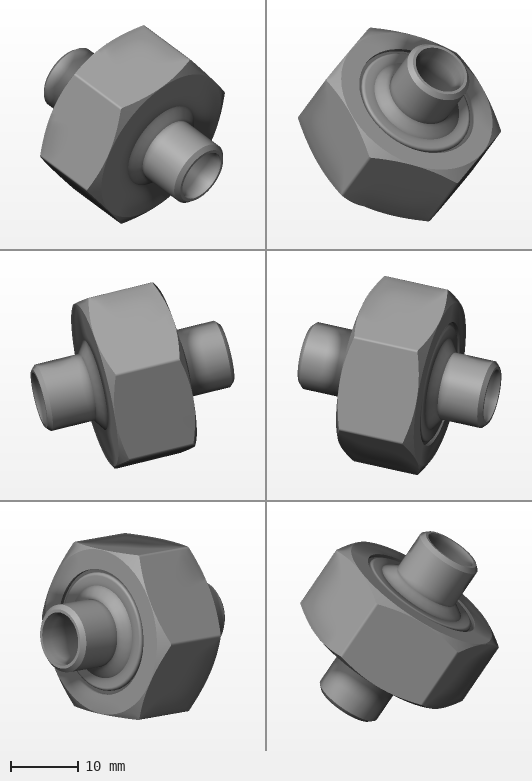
import cadquery as cq
import math

total_length = 29.0
bore_radius = 4.0
stub_radius = 5.1
stub_chamfer = 0.65
left_stub_length = 6.85
right_stub_length = 7.37
cone_end_radius = 6.95
cone_length = 1.33

nut_width_flats = 25.0
nut_length = 12.18
nut_corner_fillet = 0.5
nut_face_radius = 12.45
nut_chamfer_angle = 30.0

gap_outer_radius = 9.45
collar_radius = 8.93
collar_fillet = 0.5
gap_depth = 0.58

left_end = -total_length / 2
right_end = total_length / 2
left_cone_start = left_end + left_stub_length
right_cone_start = right_end - right_stub_length
nut_left = left_cone_start + cone_length
nut_right = nut_left + nut_length


def revolve_about_x(profile):
    return profile.close().revolve(360, (0, 0, 0), (1, 0, 0))


def make_pipe_body():
    """Both chamfered stubs with the cones that widen toward the nut."""
    tip_radius = stub_radius - stub_chamfer
    return revolve_about_x(
        cq.Workplane("XY")
        .moveTo(left_end, 0)
        .lineTo(left_end, tip_radius)
        .lineTo(left_end + stub_chamfer, stub_radius)
        .lineTo(left_cone_start, stub_radius)
        .lineTo(left_cone_start + cone_length, cone_end_radius)
        .lineTo(right_cone_start - cone_length, cone_end_radius)
        .lineTo(right_cone_start, stub_radius)
        .lineTo(right_end - stub_chamfer, stub_radius)
        .lineTo(right_end, tip_radius)
        .lineTo(right_end, 0)
    )


def make_nut():
    """Hexagon with flats facing +Z and -Z, rounded edges and conical end chamfers."""
    corner_radius = nut_width_flats / 2 / math.cos(math.radians(30))
    hexagon = (
        cq.Workplane("YZ")
        .workplane(offset=nut_left)
        .polygon(6, 2 * corner_radius)
        .extrude(nut_length)
        .edges("|X")
        .fillet(nut_corner_fillet)
    )
    chamfer_length = (corner_radius - nut_face_radius) * math.tan(math.radians(nut_chamfer_angle))
    chamfer_envelope = revolve_about_x(
        cq.Workplane("XY")
        .moveTo(nut_left, 0)
        .lineTo(nut_left, nut_face_radius)
        .lineTo(nut_left + chamfer_length, corner_radius)
        .lineTo(nut_right - chamfer_length, corner_radius)
        .lineTo(nut_right, nut_face_radius)
        .lineTo(nut_right, 0)
    )
    return hexagon.intersect(chamfer_envelope)


def make_collar_gap():
    """Ring cut into the -X face of the nut, leaving a collar with a rounded rim."""
    rim_offset = collar_fillet * math.sin(math.radians(45))
    fillet_centre_x = nut_left + collar_fillet
    fillet_centre_radius = collar_radius - collar_fillet
    return revolve_about_x(
        cq.Workplane("XY")
        .moveTo(nut_left, fillet_centre_radius)
        .threePointArc(
            (fillet_centre_x - rim_offset, fillet_centre_radius + rim_offset),
            (fillet_centre_x, collar_radius),
        )
        .lineTo(nut_left + gap_depth, collar_radius)
        .lineTo(nut_left + gap_depth, gap_outer_radius)
        .lineTo(nut_left, gap_outer_radius)
    )


def make_bore():
    return cq.Workplane("YZ").workplane(offset=left_end).circle(bore_radius).extrude(total_length)


result = make_nut().cut(make_collar_gap()).union(make_pipe_body()).cut(make_bore())